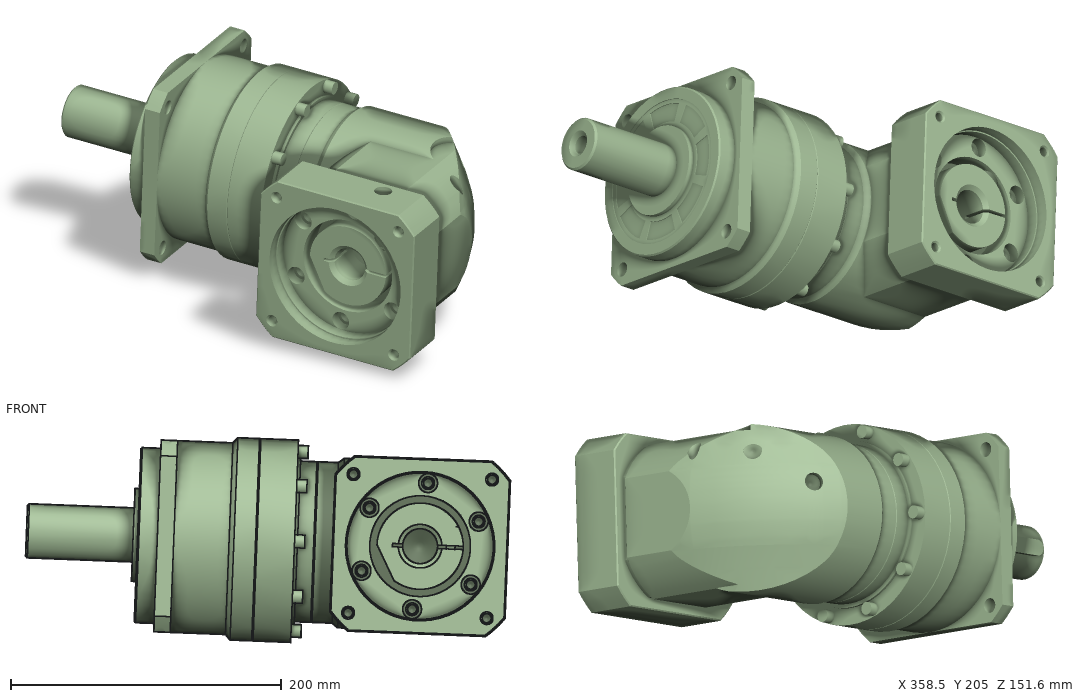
import cadquery as cq
import math

TILT = 2.25

SHAFT_END = -291.08
COLLAR_FACE = -212.0
PILOT_FACE = -209.0
FLANGE_FRONT = -194.2
FLANGE_BACK = -182.0
BODY_END = -141.2
RING_START = -121.0
RING_END = -92.8
MID_RING_END = -78.0
ELBOW_CONE_START = -62.7
ELBOW_CONE_END = -58.5

SHAFT_R = 20.0
SHAFT_CHAMFER = 1.5
COLLAR_R = 34.5
CENTRE_BORE_R = 6.8
CENTRE_BORE_DEPTH = 36.0
CENTRE_SINK_R = 10.0
KEY_START = -285.5
KEY_END = -220.5
KEY_WIDTH = 12.0
KEY_TOP = 23.0
KEY_SEAT = 14.5

COVER_R = 55.5
COVER_RECESS = 0.7
COVER_BACK = -201.8
PAD_COUNT = 8
PAD_INNER_R = 38.5
PAD_OUTER_R = 52.5
PAD_HALF_ANGLE = 18.0
PAD_DEPTH = 0.7

PILOT_R = 65.0
PILOT_CHAMFER = 1.0
FLANGE_HALF = 71.0
FLANGE_CORNER_R = 92.5
FLANGE_BOLT_OFFSET = 58.5
FLANGE_BOLT_R = 5.5
BODY_R = 71.0
RING_R = 75.0
BODY_CONE_LENGTH = 3.5
SEAM_CHAMFER = 0.55
BOSS_R = 62.5
BOSS_HEIGHT = 2.0
RING_SCREW_COUNT = 10
RING_SCREW_CIRCLE_R = 69.5
RING_SCREW_R = 4.85
RING_SCREW_HEIGHT = 7.5

NECK_R = 59.5
ELBOW_R = 62.7
LEG_R = 65.0
LEG_HALF = 57.7
LEG_END = -87.8
LEG_CHAMFER = 0.55
BARREL_END = 30.0
RELIEF_X = 32.3
RELIEF_Y = -9.0
RELIEF_R = 18.0
LEG_TOP = 7.0
CAP_X = -85.0
CAP_Y = -72.8
CAP_R = 150.5
CAP_BULGE = 5.5
CAP_EDGE_Z = 30.5
CAP_TAPER = 0.4
ELBOW_HOLE_R = 5.0
ELBOW_HOLE_DEPTH = 21.5
ELBOW_HOLE_X = 45.5
ELBOW_HOLE_Y = -29.5
CAP_HOLE_R = 6.8
CAP_HOLE_DEPTH = 10.8
CAP_HOLES = [(37.0, 41.2), (54.5, 16.0)]

ADAPTER_BACK = -90.5
ADAPTER_FRONT = -130.0
ADAPTER_HALF = 65.0
ADAPTER_CORNER_R = 82.5
ADAPTER_CHAMFER = 0.9
SPIGOT_HALF = 56.3
BORE_MOUTH_R = 55.2
BORE_R = 54.0
BORE_MOUTH_DEPTH = 10.0
BORE_DEPTH = 19.7
HUB_CLEARANCE_R = 37.3
MOTOR_BOLT_OFFSET = 51.2
TAP_R = 3.4
TAP_SINK_R = 4.5
MOTOR_BOLT_DEPTH = 18.0
BOLT_COUNT = 6
BOLT_CIRCLE_R = 47.0
BOLT_FIRST_ANGLE = 25.0
COUNTERBORE_R = 7.0
COUNTERBORE_DEPTH = 9.0
SOCKET_DEPTH = 5.5
ACCESS_HOLE_R = 6.7

HUB_FACE = -110.5
HUB_END = -70.0
HUB_R = 32.0
HUB_FLAT_ANGLE = 207.5
HUB_FLAT_DISTANCE = 28.3
HUB_BORE_R = 13.0
HUB_BORE_CHAMFER = 3.2
HUB_BORE_DEPTH = 30.5
SLOT_WIDTH = 2.5
SLOT_DEPTH = 23.3
SLOT_SHORT_REACH = 20.5
CLAMP_X = 22.5
CLAMP_Y = -101.8
CLAMP_HEAD_R = 5.2
CLAMP_HEAD_TOP = 15.5
CLAMP_HEAD_BOTTOM = 6.5
CLAMP_SHANK_R = 3.2
CLAMP_SHANK_END = -16.0
CLAMP_SOCKET_R = 2.7
CONE_SLOPE = math.tan(math.radians(60))


def disc_x(radius, start, end):
    """Cylinder on the output axis between two X stations."""
    return cq.Workplane("YZ").workplane(offset=start).circle(radius).extrude(end - start)


def disc_y(radius, start, end, x=0.0, z=0.0):
    """Cylinder along Y from start up to end."""
    base = cq.Vector(x, start, z)
    return cq.Workplane(cq.Solid.makeCylinder(radius, end - start, base, cq.Vector(0, 1, 0)))


def block(x_range, y_range, z_range):
    """Box between pairs of coordinates."""
    size = [high - low for low, high in (x_range, y_range, z_range)]
    return cq.Workplane(cq.Solid.makeBox(*size, cq.Vector(x_range[0], y_range[0], z_range[0])))


def drilled_hole(radius, depth, point, direction, sink_radius=None):
    """Cutting tool: blind hole with a conical bottom and, if asked for, a 45 degree countersunk mouth."""
    mouth = [(radius, 0)]
    if sink_radius:
        mouth = [(sink_radius, 0), (radius, sink_radius - radius)]
    profile = [(0, 0), *mouth, (radius, depth), (0, depth + radius / CONE_SLOPE)]
    tool = cq.Workplane("XY").polyline(profile).close().revolve(360, (0, 0, 0), (0, 1, 0)).val()
    upright = tool.rotate(cq.Vector(0, 0, 0), cq.Vector(1, 0, 0), 90)
    return cq.Workplane(upright.moved(cq.Location(cq.Plane(origin=point, normal=direction))))


def polar(radius, degrees):
    """Point at a radius and angle."""
    return radius * math.cos(math.radians(degrees)), radius * math.sin(math.radians(degrees))


def make_key():
    length = KEY_END - KEY_START
    plane = cq.Workplane("XZ", origin=((KEY_START + KEY_END) / 2, KEY_SEAT, 0))
    return plane.slot2D(length, KEY_WIDTH).extrude(-(KEY_TOP - KEY_SEAT))


def make_shaft(key):
    shaft = disc_x(SHAFT_R, SHAFT_END, COLLAR_FACE).faces("<X").chamfer(SHAFT_CHAMFER)
    shaft = shaft.union(disc_x(COLLAR_R, COLLAR_FACE, FLANGE_BACK))
    centre = drilled_hole(CENTRE_BORE_R, CENTRE_BORE_DEPTH, (SHAFT_END, 0, 0), (1, 0, 0), CENTRE_SINK_R)
    return shaft.cut(centre).cut(key)


def make_cover():
    """Annular seal cover with eight shallow pads sunk in its face."""
    face = PILOT_FACE + COVER_RECESS
    cover = disc_x(COVER_R, face, COVER_BACK).cut(disc_x(COLLAR_R, face, COVER_BACK))
    for index in range(PAD_COUNT):
        middle = index * 360 / PAD_COUNT
        first, last = middle - PAD_HALF_ANGLE, middle + PAD_HALF_ANGLE
        pad = (
            cq.Workplane("YZ", origin=(face, 0, 0))
            .moveTo(*polar(PAD_INNER_R, first))
            .lineTo(*polar(PAD_OUTER_R, first))
            .threePointArc(polar(PAD_OUTER_R, middle), polar(PAD_OUTER_R, last))
            .lineTo(*polar(PAD_INNER_R, last))
            .threePointArc(polar(PAD_INNER_R, middle), polar(PAD_INNER_R, first))
            .close()
            .extrude(PAD_DEPTH)
        )
        cover = cover.cut(pad)
    return cover


def make_output_housing():
    """Pilot, square flange and the body that widens to the ring diameter."""
    pilot = disc_x(PILOT_R, PILOT_FACE, FLANGE_FRONT).faces("<X").chamfer(PILOT_CHAMFER)
    square = (-FLANGE_HALF, FLANGE_HALF)
    flange = block((FLANGE_FRONT, FLANGE_BACK), square, square)
    flange = flange.intersect(disc_x(FLANGE_CORNER_R, FLANGE_FRONT, FLANGE_BACK))
    bolt_side = 2 * FLANGE_BOLT_OFFSET
    bolts = (
        cq.Workplane("YZ", origin=(FLANGE_FRONT, 0, 0))
        .rect(bolt_side, bolt_side, forConstruction=True)
        .vertices()
        .circle(FLANGE_BOLT_R)
        .extrude(FLANGE_BACK - FLANGE_FRONT)
    )
    cone_end = BODY_END + BODY_CONE_LENGTH
    body = (
        cq.Workplane("XY")
        .polyline([
            (FLANGE_BACK, 0), (FLANGE_BACK, BODY_R), (BODY_END, BODY_R), (cone_end, RING_R),
            (RING_START - SEAM_CHAMFER, RING_R), (RING_START, RING_R - SEAM_CHAMFER), (RING_START, 0),
        ])
        .close()
        .revolve(360, (0, 0, 0), (1, 0, 0))
    )
    recess = disc_x(COVER_R, PILOT_FACE, COVER_BACK).union(disc_x(COLLAR_R, PILOT_FACE, FLANGE_BACK))
    return pilot.union(flange.cut(bolts)).union(body).cut(recess)


def make_rear_ring():
    """Ring closing the output stage, with its raised screw heads."""
    ring = disc_x(RING_R, RING_START, RING_END).faces("<X").chamfer(SEAM_CHAMFER)
    ring = ring.union(disc_x(BOSS_R, RING_END, RING_END + BOSS_HEIGHT))
    heads = (
        cq.Workplane("YZ", origin=(RING_END, 0, 0))
        .polarArray(RING_SCREW_CIRCLE_R, 0, 360, RING_SCREW_COUNT)
        .circle(RING_SCREW_R)
        .extrude(RING_SCREW_HEIGHT)
    )
    return ring.union(heads)


def make_middle_ring():
    start = RING_END + BOSS_HEIGHT
    return disc_x(NECK_R, start, MID_RING_END).faces(">X").chamfer(SEAM_CHAMFER)


def make_leg(bottom, top):
    """Square leg with large rounded corners, running along Y."""
    leg = block((-LEG_HALF, LEG_HALF), (bottom, top), (-LEG_HALF, LEG_HALF))
    return leg.intersect(disc_y(LEG_R, bottom, top))


def make_elbow_cap():
    """Barrel-shaped envelope that rounds the outer bend of the elbow."""
    edge_r = CAP_R - CAP_BULGE
    top_z = LEG_R
    top_r = edge_r - CAP_TAPER * (top_z - CAP_EDGE_Z)
    return (
        cq.Workplane("XZ", origin=(CAP_X, CAP_Y, 0))
        .moveTo(0, -top_z)
        .lineTo(top_r, -top_z)
        .lineTo(edge_r, -CAP_EDGE_Z)
        .threePointArc((CAP_R, 0), (edge_r, CAP_EDGE_Z))
        .lineTo(top_r, top_z)
        .lineTo(0, top_z)
        .close()
        .revolve(360, (0, 0, 0), (0, 1, 0))
    )


def make_elbow(hub):
    barrel_profile = [
        (MID_RING_END, 0), (MID_RING_END, NECK_R - SEAM_CHAMFER), (MID_RING_END + SEAM_CHAMFER, NECK_R),
        (ELBOW_CONE_START, NECK_R),
        (ELBOW_CONE_END, ELBOW_R), (BARREL_END, ELBOW_R), (BARREL_END, 0),
    ]
    barrel = cq.Workplane("XY").polyline(barrel_profile).close().revolve(360, (0, 0, 0), (1, 0, 0))
    leg = make_leg(LEG_END, LEG_TOP).faces("<Y").chamfer(LEG_CHAMFER)
    bend = disc_x(ELBOW_R, 0, LEG_R).intersect(make_leg(LEG_TOP, LEG_R))
    relief = cq.Workplane("XY", origin=(RELIEF_X, RELIEF_Y, 0)).circle(RELIEF_R).extrude(ELBOW_R)
    elbow = barrel.cut(relief).union(bend).union(leg).intersect(make_elbow_cap())
    spigot_range = (-SPIGOT_HALF, SPIGOT_HALF)
    spigot = block(spigot_range, (ADAPTER_BACK, LEG_END), spigot_range)
    spigot = spigot.intersect(disc_y(LEG_R - LEG_CHAMFER, ADAPTER_BACK, LEG_END))
    upright_point = (ELBOW_HOLE_X, ELBOW_HOLE_Y, LEG_HALF)
    elbow = elbow.union(spigot).cut(drilled_hole(ELBOW_HOLE_R, ELBOW_HOLE_DEPTH, upright_point, (0, 0, -1)))
    for angle, height in CAP_HOLES:
        reach_x, reach_y = polar(CAP_R, angle)
        mouth = (CAP_X + reach_x, CAP_Y + reach_y, height)
        elbow = elbow.cut(drilled_hole(CAP_HOLE_R, CAP_HOLE_DEPTH, mouth, (-reach_x, -reach_y, 0)))
    return elbow.cut(hub)


def make_clamp_screw():
    head = cq.Workplane("XY", origin=(CLAMP_X, CLAMP_Y, CLAMP_HEAD_BOTTOM)).circle(CLAMP_HEAD_R)
    screw = head.extrude(CLAMP_HEAD_TOP - CLAMP_HEAD_BOTTOM)
    shank = cq.Workplane("XY", origin=(CLAMP_X, CLAMP_Y, CLAMP_SHANK_END)).circle(CLAMP_SHANK_R)
    screw = screw.union(shank.extrude(CLAMP_HEAD_BOTTOM - CLAMP_SHANK_END))
    top = (CLAMP_X, CLAMP_Y, CLAMP_HEAD_TOP)
    return screw.cut(drilled_hole(CLAMP_SOCKET_R, SOCKET_DEPTH, top, (0, 0, -1)))


def make_clamp_hub_blank():
    """Outer shape of the hub: a cylinder with one balancing flat."""
    hub = disc_y(HUB_R, HUB_FACE, HUB_END)
    beyond = block((HUB_FLAT_DISTANCE, HUB_R), (HUB_FACE, HUB_END), (-HUB_R, HUB_R))
    return hub.cut(beyond.rotate((0, 0, 0), (0, 1, 0), -HUB_FLAT_ANGLE))


def make_clamp_hub(screw):
    mouth_r = HUB_BORE_R + HUB_BORE_CHAMFER
    bore = drilled_hole(HUB_BORE_R, HUB_BORE_DEPTH, (0, HUB_FACE, 0), (0, 1, 0), mouth_r)
    slot = block(
        (-SLOT_SHORT_REACH, HUB_R), (HUB_FACE, HUB_FACE + SLOT_DEPTH), (-SLOT_WIDTH / 2, SLOT_WIDTH / 2)
    )
    seat_base = cq.Workplane("XY", origin=(CLAMP_X, CLAMP_Y, CLAMP_HEAD_BOTTOM))
    head_seat = seat_base.circle(CLAMP_HEAD_R).extrude(HUB_R)
    return make_clamp_hub_blank().cut(bore).cut(slot).cut(head_seat).cut(screw)


def make_adapter():
    square = (-ADAPTER_HALF, ADAPTER_HALF)
    adapter = block(square, (ADAPTER_FRONT, ADAPTER_BACK), square)
    adapter = adapter.intersect(disc_y(ADAPTER_CORNER_R, ADAPTER_FRONT, ADAPTER_BACK))
    adapter = adapter.faces("<Y or >Y").chamfer(ADAPTER_CHAMFER)
    floor = ADAPTER_FRONT + BORE_DEPTH
    adapter = adapter.cut(disc_y(BORE_MOUTH_R, ADAPTER_FRONT, ADAPTER_FRONT + BORE_MOUTH_DEPTH))
    adapter = adapter.cut(disc_y(BORE_R, ADAPTER_FRONT, floor))
    adapter = adapter.cut(disc_y(HUB_CLEARANCE_R, ADAPTER_FRONT, ADAPTER_BACK))
    for x in (-MOTOR_BOLT_OFFSET, MOTOR_BOLT_OFFSET):
        for z in (-MOTOR_BOLT_OFFSET, MOTOR_BOLT_OFFSET):
            point = (x, ADAPTER_FRONT, z)
            adapter = adapter.cut(drilled_hole(TAP_R, MOTOR_BOLT_DEPTH, point, (0, 1, 0), TAP_SINK_R))
    for index in range(BOLT_COUNT):
        x, z = polar(BOLT_CIRCLE_R, BOLT_FIRST_ANGLE + index * 360 / BOLT_COUNT)
        seat = floor + COUNTERBORE_DEPTH
        adapter = adapter.cut(disc_y(COUNTERBORE_R, floor, seat, x, z))
        adapter = adapter.cut(drilled_hole(TAP_R, SOCKET_DEPTH, (x, seat, z), (0, 1, 0), TAP_SINK_R))
    access = cq.Workplane("XY", origin=(CLAMP_X, CLAMP_Y, CLAMP_HEAD_TOP)).circle(ACCESS_HOLE_R)
    return adapter.cut(access.extrude(ADAPTER_HALF))


key = make_key()
shaft = make_shaft(key)
cover = make_cover()
output_housing = make_output_housing()
rear_ring = make_rear_ring()
middle_ring = make_middle_ring()
elbow = make_elbow(make_clamp_hub_blank())
clamp_screw = make_clamp_screw()
clamp_hub = make_clamp_hub(clamp_screw)
adapter = make_adapter()

bodies = [
    shaft, key, cover, output_housing, rear_ring, middle_ring, elbow, adapter, clamp_hub, clamp_screw
]
result = cq.Compound.makeCompound(
    [body.rotate((0, 0, 0), (0, 1, 0), TILT).val() for body in bodies]
)